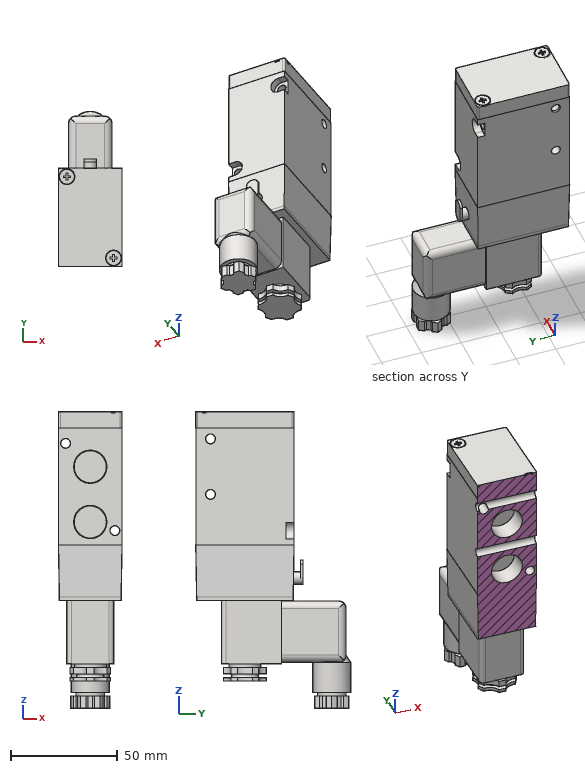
import cadquery as cq
import math


OVERALL_DEPTH = 73.0
TOTAL_HEIGHT = 139.5
COVER_HEIGHT = 7.8
BODY_BOTTOM = 76.9
BASE_TOP = 52.5
BASE_BOTTOM = 50.6
COIL_BOTTOM = 20.9

BODY_WIDTH = 30.0
BODY_DEPTH = 46.3
COVER_CORNER = 1.0
BODY_STEP = 0.07
HOUSING_INSET = 0.4
COVER_BOTTOM = TOTAL_HEIGHT - COVER_HEIGHT

SCREW_EDGE = 4.0
SCREW_BORE = 7.4
SCREW_HEAD = 7.0
SCREW_GAP_DEPTH = 0.7
CROSS_LENGTH = 3.3
CROSS_WIDTH = 0.8
CROSS_DEPTH = 0.8

PORT_MOUTH_DIAMETER = 15.6
PORT_FLOOR_DIAMETER = 15.0
PORT_DEPTH = 16.7
PORT_LEVELS = (113.5, 87.6)
HOLE_DIAMETER = 4.5
SIDE_HOLE_Y = 7.0
SIDE_HOLE_LEVELS = (126.7, 100.6)
FACE_HOLE_X = 11.6
FACE_HOLE_LEVELS = {-1: 124.6, 1: 83.5}
SLOT_WIDTH = 7.8
SLOT_DEPTH = 3.8

LEVER_DIAMETER = 6.0
LEVER_LEVEL = 61.2
LEVER_END_Y = 50.5
LEVER_BLADE_THICKNESS = 1.3
LEVER_CROWN = 1.8
LEVER_TOP = 69.8

COIL_WIDTH = 22.3
COIL_FRONT = 12.1
COIL_BACK = 40.5
COIL_CORNER = 2.2
PLUG_WIDTH = 20.5
PLUG_BACK = 70.7
PLUG_BOTTOM = 21.6
PLUG_TOP = 50.5
PLUG_ROUNDING = 3.5

SOCKET_DIAMETER = 18.0
SOCKET_Y = OVERALL_DEPTH - SOCKET_DIAMETER / 2
SOCKET_BOTTOM = 7.4
CONE_HEIGHT = 3.3
CONE_TOP_DIAMETER = 13.5
NECK_DIAMETER = 13.5
CAP_HEIGHT = 5.9
CAP_FLAT = 16.0
NOTCH_WIDTH = 3.8
NOTCH_FLOOR = 2.1
NOTCH_DEPTH = 1.0

NUT_Y = BODY_DEPTH / 2
STEM_DIAMETER = 15.0
NUT_TOP = 19.3
GROOVE_TOP = 16.2
GROOVE_BOTTOM = 14.5
NUT_BOTTOM = 12.8
NUT_FLAT = 20.2
LOBE_WIDTH = 3.5
VALLEY_RADIUS = 8.4
GROOVE_DIAMETER = 13.5
WAIST_DIAMETER = 12.5

HEX_SIDES = 6
HEX_STEP = 2 * math.pi / HEX_SIDES
FIRST_FLAT = math.pi / 2


def block(width, y_min, y_max, z_min, z_max):
    """Box centred on X = 0."""
    size = (width, y_max - y_min, z_max - z_min)
    return cq.Workplane("XY").box(*size, centered=(True, False, False)).translate((0, y_min, z_min))


def upright(diameter, y, z_min, z_max):
    """Cylinder along Z on the X = 0 plane."""
    return cq.Workplane("XY", origin=(0, y, z_min)).circle(diameter / 2).extrude(z_max - z_min)


def polar(radius, angle):
    """Point at a radius and angle about the local origin."""
    return (radius * math.cos(angle), radius * math.sin(angle))


def rotated(x, y, angle):
    """Point (x, y) turned by an angle about the local origin."""
    return (x * math.cos(angle) - y * math.sin(angle), x * math.sin(angle) + y * math.cos(angle))


def valve_body():
    cover = block(BODY_WIDTH, 0, BODY_DEPTH, COVER_BOTTOM, TOTAL_HEIGHT).edges("|Z").fillet(COVER_CORNER)
    body = block(BODY_WIDTH - 2 * BODY_STEP, BODY_STEP, BODY_DEPTH - BODY_STEP, BODY_BOTTOM, COVER_BOTTOM)
    base_width = BODY_WIDTH - 2 * HOUSING_INSET
    base_depth = BODY_DEPTH - 2 * HOUSING_INSET
    housing = (
        cq.Workplane("XY", origin=(0, BODY_DEPTH / 2, BASE_TOP))
        .rect(base_width, base_depth)
        .workplane(offset=BODY_BOTTOM - BASE_TOP)
        .rect(BODY_WIDTH, BODY_DEPTH)
        .loft(ruled=True)
    )
    base = block(base_width, HOUSING_INSET, BODY_DEPTH - HOUSING_INSET, BASE_BOTTOM, BASE_TOP)
    return cover.union(body).union(housing).union(base)


def screw_recesses():
    """Ring gap and cross recess of the two cover screws at opposite corners."""
    x = BODY_WIDTH / 2 - SCREW_EDGE
    centres = [(-x, BODY_DEPTH - SCREW_EDGE), (x, SCREW_EDGE)]
    top = cq.Workplane("XY", origin=(0, 0, TOTAL_HEIGHT)).pushPoints(centres)
    ring = top.circle(SCREW_BORE / 2).circle(SCREW_HEAD / 2).extrude(-SCREW_GAP_DEPTH)
    along_x = top.rect(CROSS_LENGTH, CROSS_WIDTH).extrude(-CROSS_DEPTH)
    along_y = top.rect(CROSS_WIDTH, CROSS_LENGTH).extrude(-CROSS_DEPTH)
    return ring.union(along_x).union(along_y)


def port(level):
    """Blind port that tapers from its mouth on the front face to its floor."""
    return (
        cq.Workplane("XZ", origin=(0, 0, level))
        .circle(PORT_MOUTH_DIAMETER / 2)
        .workplane(offset=-PORT_DEPTH)
        .circle(PORT_FLOOR_DIAMETER / 2)
        .loft()
    )


def side_hole(level):
    plane = cq.Workplane("YZ", origin=(-BODY_WIDTH / 2, SIDE_HOLE_Y, level))
    return plane.circle(HOLE_DIAMETER / 2).extrude(BODY_WIDTH)


def face_hole(side, level):
    """Hole through the depth, with a slot on the back face that runs out to the side face."""
    x = side * FACE_HOLE_X
    hole = cq.Workplane("XZ", origin=(x, 0, level)).circle(HOLE_DIAMETER / 2).extrude(-BODY_DEPTH)
    back = cq.Workplane("XZ", origin=(x, BODY_DEPTH, level))
    slot_end = back.circle(SLOT_WIDTH / 2).extrude(SLOT_DEPTH)
    run_out = back.center(side * SLOT_WIDTH / 2, 0).rect(SLOT_WIDTH, SLOT_WIDTH).extrude(SLOT_DEPTH)
    return hole.union(slot_end).union(run_out)


def lever():
    """Round pin in the back of the housing with a round-topped blade on its end."""
    radius = LEVER_DIAMETER / 2
    start_y = BODY_DEPTH - 2 * HOUSING_INSET
    pin = cq.Workplane("XZ", origin=(0, start_y, LEVER_LEVEL)).circle(radius).extrude(start_y - LEVER_END_Y)
    blade = (
        cq.Workplane("XZ", origin=(0, LEVER_END_Y, 0))
        .moveTo(-radius, LEVER_LEVEL)
        .lineTo(radius, LEVER_LEVEL)
        .lineTo(radius, LEVER_TOP - LEVER_CROWN)
        .threePointArc((0, LEVER_TOP), (-radius, LEVER_TOP - LEVER_CROWN))
        .close()
        .extrude(LEVER_BLADE_THICKNESS)
    )
    return pin.union(blade)


def coil():
    body = block(COIL_WIDTH, COIL_FRONT, COIL_BACK, COIL_BOTTOM, BASE_BOTTOM)
    return body.edges("|Z and <Y").fillet(COIL_CORNER)


def plug():
    """Box whose rounded edges meet in mitres at the back corners, as crossing rounded bars do."""
    body = block(PLUG_WIDTH, COIL_BACK, PLUG_BACK, PLUG_BOTTOM, PLUG_TOP)
    along_y = body.edges("|Y").fillet(PLUG_ROUNDING)
    along_z = body.edges("|Z and >Y").fillet(PLUG_ROUNDING)
    along_x = body.edges("|X and >Y").fillet(PLUG_ROUNDING)
    return along_y.intersect(along_z).intersect(along_x)


def cap():
    """Hexagonal cap with corners on +X and -X and a tapered notch in the middle of each flat."""
    apothem = CAP_FLAT / 2
    floor = apothem - NOTCH_DEPTH
    points = []
    for i in range(HEX_SIDES):
        angle = FIRST_FLAT + HEX_STEP * i
        corner = polar(apothem / math.cos(HEX_STEP / 2), angle - HEX_STEP / 2)
        points.append(corner)
        points.append(rotated(apothem, -NOTCH_WIDTH / 2, angle))
        points.append(rotated(floor, -NOTCH_FLOOR / 2, angle))
        points.append(rotated(floor, NOTCH_FLOOR / 2, angle))
        points.append(rotated(apothem, NOTCH_WIDTH / 2, angle))
    return cq.Workplane("XY", origin=(0, SOCKET_Y, 0)).polyline(points).close().extrude(CAP_HEIGHT)


def socket():
    tube = upright(SOCKET_DIAMETER, SOCKET_Y, SOCKET_BOTTOM, PLUG_BOTTOM)
    cone = (
        cq.Workplane("XY", origin=(0, SOCKET_Y, PLUG_BOTTOM))
        .circle(SOCKET_DIAMETER / 2)
        .workplane(offset=CONE_HEIGHT)
        .circle(CONE_TOP_DIAMETER / 2)
        .loft()
    )
    neck = upright(NECK_DIAMETER, SOCKET_Y, CAP_HEIGHT, SOCKET_BOTTOM)
    return tube.union(cone).union(neck).union(cap())


def lobed_disc(z_min, z_max):
    """Disc with six flat lobes joined by concave arcs."""
    apothem = NUT_FLAT / 2
    start = rotated(apothem, -LOBE_WIDTH / 2, FIRST_FLAT)
    outline = cq.Workplane("XY", origin=(0, NUT_Y, z_min)).moveTo(*start)
    for i in range(HEX_SIDES):
        angle = FIRST_FLAT + HEX_STEP * i
        outline = outline.lineTo(*rotated(apothem, LOBE_WIDTH / 2, angle))
        valley = polar(VALLEY_RADIUS, angle + HEX_STEP / 2)
        next_lobe = rotated(apothem, -LOBE_WIDTH / 2, angle + HEX_STEP)
        outline = outline.threePointArc(valley, next_lobe)
    return outline.close().extrude(z_max - z_min)


def nut():
    stem = upright(STEM_DIAMETER, NUT_Y, NUT_TOP, COIL_BOTTOM)
    groove_middle = (GROOVE_TOP + GROOVE_BOTTOM) / 2
    waist = (
        cq.Workplane("XZ")
        .moveTo(0, GROOVE_BOTTOM)
        .lineTo(GROOVE_DIAMETER / 2, GROOVE_BOTTOM)
        .threePointArc((WAIST_DIAMETER / 2, groove_middle), (GROOVE_DIAMETER / 2, GROOVE_TOP))
        .lineTo(0, GROOVE_TOP)
        .close()
        .revolve(360, (0, 0), (0, 1))
        .translate((0, NUT_Y, 0))
    )
    upper = lobed_disc(GROOVE_TOP, NUT_TOP)
    lower = lobed_disc(NUT_BOTTOM, GROOVE_BOTTOM)
    return stem.union(upper).union(waist).union(lower)


result = valve_body().cut(screw_recesses())
for port_level in PORT_LEVELS:
    result = result.cut(port(port_level))
for hole_level in SIDE_HOLE_LEVELS:
    result = result.cut(side_hole(hole_level))
for hole_side, hole_level in FACE_HOLE_LEVELS.items():
    result = result.cut(face_hole(hole_side, hole_level))
for attachment in (lever(), coil(), plug(), socket(), nut()):
    result = result.union(attachment)